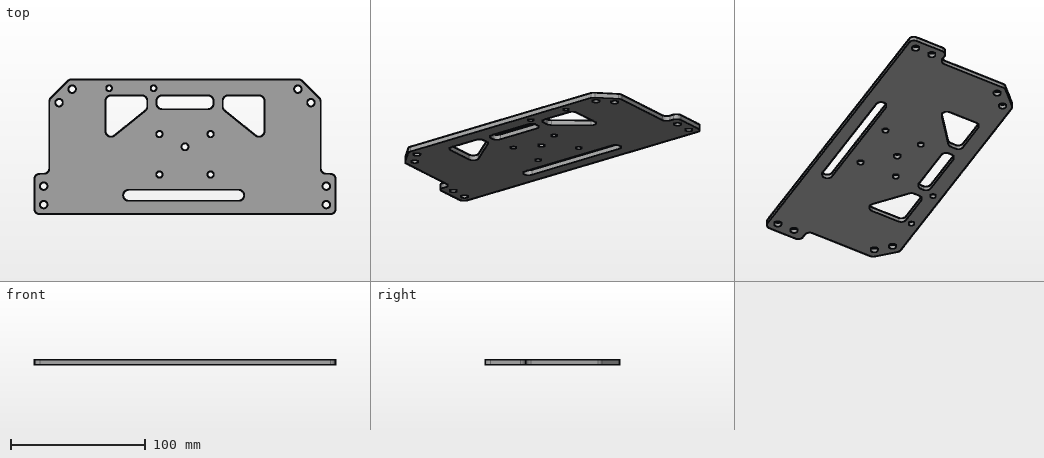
import cadquery as cq

LENGTH = 223.6
WIDTH = 100.0
THICKNESS = 4.0
BODY_LENGTH = 201.4
TAB_WIDTH = 30.0
CORNER_CHAMFER = 14.8
CORNER_RADIUS = 4.0

WINDOW_TOP = 38.0
WINDOW_INNER_X = 28.0
WINDOW_OUTER_X = 58.9
WINDOW_INNER_BOTTOM = 28.0
WINDOW_OUTER_BOTTOM = 3.2
WINDOW_RADIUS = 4.0

UPPER_SLOT_LENGTH = 42.2
UPPER_SLOT_CORNER_RADIUS = 4.0
UPPER_SLOT_WIDTH = 10.0
UPPER_SLOT_CENTER = (0.0, WINDOW_TOP - UPPER_SLOT_WIDTH / 2)
LOWER_SLOT_LENGTH = 89.6
LOWER_SLOT_WIDTH = 8.0
LOWER_SLOT_CENTER = (-1.0, -36.0)

END_HOLE_DIAMETER = 5.4
TAB_HOLE_X = 104.8
TAB_HOLE_YS = (-29.2, -42.9)
CORNER_HOLES = ((83.7, 42.7), (93.4, 32.7))

CENTER_HOLE_DIAMETER = 5.0
PATTERN_HOLE_DIAMETER = 4.5
PATTERN_HOLE_X = 19.0
PATTERN_HOLE_YS = (9.4, -20.6)
EDGE_HOLE_DIAMETER = 4.2
EDGE_HOLES = ((-56.3, 43.4), (-23.3, 43.4))

SIDES = (-1, 1)


def make_plate():
    """Plate with chamfered far corners, end tabs and rounded outline corners."""
    half_length = LENGTH / 2
    half_body = BODY_LENGTH / 2
    half_width = WIDTH / 2
    tab_top = TAB_WIDTH - half_width
    right_side = [
        (half_length, -half_width),
        (half_length, tab_top),
        (half_body, tab_top),
        (half_body, half_width - CORNER_CHAMFER),
        (half_body - CORNER_CHAMFER, half_width),
    ]
    left_side = [(-x, y) for x, y in reversed(right_side)]
    plate = cq.Workplane("XY").polyline(right_side + left_side).close().extrude(THICKNESS)
    return plate.edges("|Z").fillet(CORNER_RADIUS)


def make_window(side):
    """Cutter for one four-sided window with a sloping lower edge."""
    corners = [
        (side * WINDOW_INNER_X, WINDOW_TOP),
        (side * WINDOW_OUTER_X, WINDOW_TOP),
        (side * WINDOW_OUTER_X, WINDOW_OUTER_BOTTOM),
        (side * WINDOW_INNER_X, WINDOW_INNER_BOTTOM),
    ]
    window = cq.Workplane("XY").polyline(corners).close().extrude(THICKNESS)
    return window.edges("|Z").fillet(WINDOW_RADIUS)


def make_upper_slot():
    """Cutter for the wide slot with rounded corners."""
    profile = cq.Workplane("XY").center(*UPPER_SLOT_CENTER).rect(UPPER_SLOT_LENGTH, UPPER_SLOT_WIDTH)
    return profile.extrude(THICKNESS).edges("|Z").fillet(UPPER_SLOT_CORNER_RADIUS)


def make_lower_slot():
    """Cutter for the long slot with full-round ends."""
    profile = cq.Workplane("XY").center(*LOWER_SLOT_CENTER).slot2D(LOWER_SLOT_LENGTH, LOWER_SLOT_WIDTH)
    return profile.extrude(THICKNESS)


def make_holes(points, diameter):
    """Cutters for equal through holes."""
    return cq.Workplane("XY").pushPoints(points).circle(diameter / 2).extrude(THICKNESS)


tab_holes = [(side * TAB_HOLE_X, y) for side in SIDES for y in TAB_HOLE_YS]
corner_holes = [(side * x, y) for side in SIDES for x, y in CORNER_HOLES]
pattern_holes = [(side * PATTERN_HOLE_X, y) for side in SIDES for y in PATTERN_HOLE_YS]

result = make_plate()
for side in SIDES:
    result = result.cut(make_window(side))
result = result.cut(make_upper_slot())
result = result.cut(make_lower_slot())
result = result.cut(make_holes(tab_holes + corner_holes, END_HOLE_DIAMETER))
result = result.cut(make_holes(pattern_holes, PATTERN_HOLE_DIAMETER))
result = result.cut(make_holes([(0, 0)], CENTER_HOLE_DIAMETER))
result = result.cut(make_holes(EDGE_HOLES, EDGE_HOLE_DIAMETER))